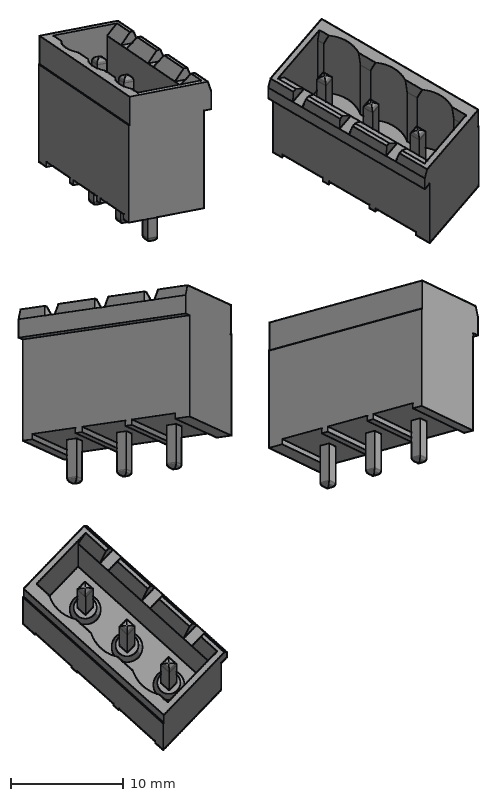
import cadquery as cq


length = 17.06
body_height = 12.01
overall_depth = 8.35
lip_overhang = 0.75
body_depth = overall_depth - lip_overhang
rim_height = 2.7
front_setback = 0.09
lip_bevel_depth = 0.35
notch_depth = 1.0

pin_count = 3
pitch = 5.08
first_pin_x = 3.7
pin_xs = [first_pin_x + i * pitch for i in range(pin_count)]

end_wall = 0.55
front_wall = 1.2
front_bevel_depth = 0.25
front_bevel_height = 1.28
cavity_back_y = 6.62
back_bevel_depth = 0.99
floor_z = 3.0

scallop_radius = 3.24
scallop_front_y = 0.77

notch_floor_width = 1.0
notch_top_width = 1.38

gap_width = 4.4
gap_height = 0.5

pin_width = 0.99
tail_y = 3.84
contact_y = 4.16
tail_tip_z = -3.5
contact_tip_z = 10.53

boss_base_radius = 1.38
boss_top_radius = 1.02
boss_height = 0.7


def extrude_along_x(points, start, end):
    """Prism along X from an outline of (y, z) points."""
    return cq.Workplane("YZ", origin=(start, 0, 0)).polyline(points).close().extrude(end - start)


def make_housing():
    """Solid block with the stepped and bevelled rim."""
    rim_z = body_height - rim_height
    outline = [
        (0, 0),
        (body_depth, 0),
        (body_depth, rim_z),
        (overall_depth, rim_z),
        (overall_depth, body_height - notch_depth),
        (overall_depth - lip_bevel_depth, body_height),
        (front_setback, body_height),
        (front_setback, rim_z),
        (0, rim_z),
    ]
    return extrude_along_x(outline, 0, length)


def make_cavity():
    """Pocket with a steep bevel at the front mouth and a broad one at the back."""
    front_y = front_wall + front_bevel_depth
    outline = [
        (front_y, floor_z),
        (cavity_back_y, floor_z),
        (cavity_back_y, body_height - notch_depth),
        (cavity_back_y + back_bevel_depth, body_height),
        (front_wall, body_height),
        (front_y, body_height - front_bevel_height),
    ]
    return extrude_along_x(outline, end_wall, length - end_wall)


def make_scallop(x):
    """Segment of a cylinder hollowing the front wall down to the cavity floor."""
    centre_y = scallop_front_y + scallop_radius
    height = body_height - floor_z
    cylinder = (
        cq.Workplane("XY", origin=(x, centre_y, floor_z))
        .circle(scallop_radius)
        .extrude(height)
    )
    front_zone = cq.Workplane("XY", origin=(end_wall, 0, floor_z)).box(
        length - 2 * end_wall, centre_y, height, centered=False
    )
    return cylinder.intersect(front_zone)


def make_notch(x):
    """Slot with slanting sides through the lip, level with the foot of its bevels."""
    floor_half = notch_floor_width / 2
    top_half = notch_top_width / 2
    notch_z = body_height - notch_depth
    return (
        cq.Workplane("XZ", origin=(x, overall_depth, 0))
        .polyline([
            (-floor_half, notch_z),
            (floor_half, notch_z),
            (top_half, body_height),
            (-top_half, body_height),
        ])
        .close()
        .extrude(overall_depth - cavity_back_y)
    )


def make_gap(x):
    """Clearance under the housing, open at the front and the back."""
    return cq.Workplane("XY", origin=(x, 0, 0)).box(
        gap_width, body_depth, gap_height, centered=(True, False, False)
    )


def make_boss(x):
    """Truncated cone standing on the cavity floor."""
    base_centre = cq.Vector(x, contact_y, floor_z)
    return cq.Workplane(cq.Solid.makeCone(boss_base_radius, boss_top_radius, boss_height, base_centre))


def make_pin(x, y, root_z, tip_z):
    """Square pin whose tip is rounded across both of its widths."""
    half = pin_width / 2
    shoulder_z = tip_z - half if tip_z > root_z else tip_z + half

    def rounded_bar(plane, origin):
        return (
            cq.Workplane(plane, origin=origin)
            .moveTo(-half, root_z)
            .lineTo(-half, shoulder_z)
            .threePointArc((0, tip_z), (half, shoulder_z))
            .lineTo(half, root_z)
            .close()
            .extrude(half, both=True)
        )

    return rounded_bar("XZ", (x, y, 0)).intersect(rounded_bar("YZ", (x, y, 0)))


result = make_housing().cut(make_cavity())
pin_root_z = (gap_height + floor_z) / 2
for pin_x in pin_xs:
    result = result.cut(make_scallop(pin_x))
    result = result.cut(make_notch(pin_x))
    result = result.cut(make_gap(pin_x))
for pin_x in pin_xs:
    result = result.union(make_boss(pin_x))
    result = result.union(make_pin(pin_x, tail_y, pin_root_z, tail_tip_z))
    result = result.union(make_pin(pin_x, contact_y, pin_root_z, contact_tip_z))